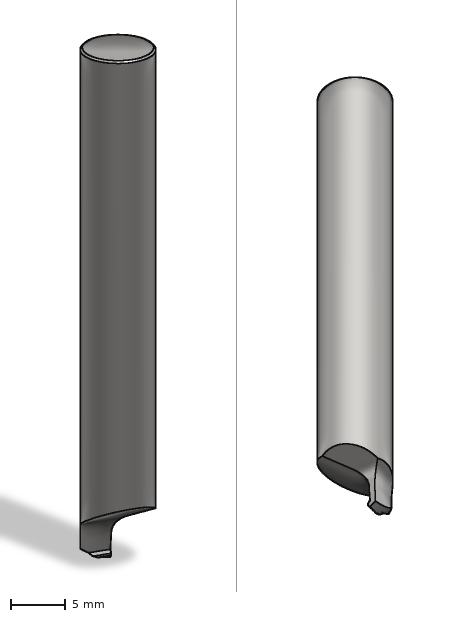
import cadquery as cq
import math

length = 51.25
diameter = 7.0
radius = diameter / 2
top_chamfer = 0.2

blade_left = -2.25
blade_right = -1.65
blade_back = 0.05
tip_back = -0.075
blade_root_z = 2.35

flare_radius = 2.25
shoulder_angle = math.radians(30)

lip_right = -1.41
lip_start_z = 0.75
lip_top_z = 0.45
lip_bottom_z = 0.25

end_radius = 7.2
end_tilt = math.radians(10)
end_bevel_slope = 0.6
end_overlap = 0.75

margin = 2.55


def shoulder_cutter(plane, face, tip, direction):
    """Clear material beside the blade, on the side given by direction.

    face is the blade face coordinate and tip lists the points of that face
    below the blade root, from the root downwards.
    """
    flare_center = face + direction * flare_radius
    arc_mid_angle = (math.pi / 2 - shoulder_angle) / 2
    arc_mid = (
        flare_center - direction * flare_radius * math.cos(arc_mid_angle),
        blade_root_z + flare_radius * math.sin(arc_mid_angle),
    )
    arc_end = (
        flare_center - direction * flare_radius * math.sin(shoulder_angle),
        blade_root_z + flare_radius * math.cos(shoulder_angle),
    )
    outside = direction * (radius + margin)
    outside_z = arc_end[1] + abs(outside - arc_end[0]) * math.tan(shoulder_angle)
    outline = (
        cq.Workplane(plane)
        .moveTo(outside, outside_z)
        .lineTo(*arc_end)
        .threePointArc(arc_mid, (face, blade_root_z))
    )
    for point in tip:
        outline = outline.lineTo(*point)
    return (
        outline.lineTo(tip[-1][0], -margin)
        .lineTo(outside, -margin)
        .close()
        .extrude(diameter, both=True)
    )


def blade_end_cutter():
    """Region below the rounded blade end, swept along its bevel."""
    center_y = tip_back + end_radius * math.sin(end_tilt)
    center_z = end_radius * math.cos(end_tilt)

    def end_z(y):
        return center_z - math.sqrt(end_radius**2 - (y - center_y) ** 2)

    front_y = -radius - end_overlap
    middle_y = front_y / 2
    start_x = blade_left - end_overlap
    sweep = blade_right - blade_left + 2 * end_overlap
    lift = (blade_right - start_x) * end_bevel_slope
    wire = (
        cq.Workplane("YZ", origin=(start_x, 0, lift))
        .moveTo(tip_back, 0)
        .threePointArc((middle_y, end_z(middle_y)), (front_y, end_z(front_y)))
        .lineTo(front_y, -margin)
        .lineTo(blade_back + end_overlap, -margin)
        .lineTo(blade_back + end_overlap, 0)
        .close()
        .wire()
        .val()
    )
    direction = cq.Vector(sweep, 0, -sweep * end_bevel_slope)
    return cq.Workplane(cq.Solid.extrudeLinear(wire, [], direction))


shank = cq.Workplane("XY").circle(radius).extrude(length).faces(">Z").chamfer(top_chamfer)

lip = [
    (blade_right, lip_start_z),
    (lip_right, lip_top_z),
    (lip_right, lip_bottom_z),
    (blade_right, 0),
]
result = (
    shank.cut(shoulder_cutter("XZ", blade_left, [(blade_left, 0)], -1))
    .cut(shoulder_cutter("XZ", blade_right, lip, 1))
    .cut(shoulder_cutter("YZ", blade_back, [(tip_back, 0)], 1))
    .cut(blade_end_cutter())
)